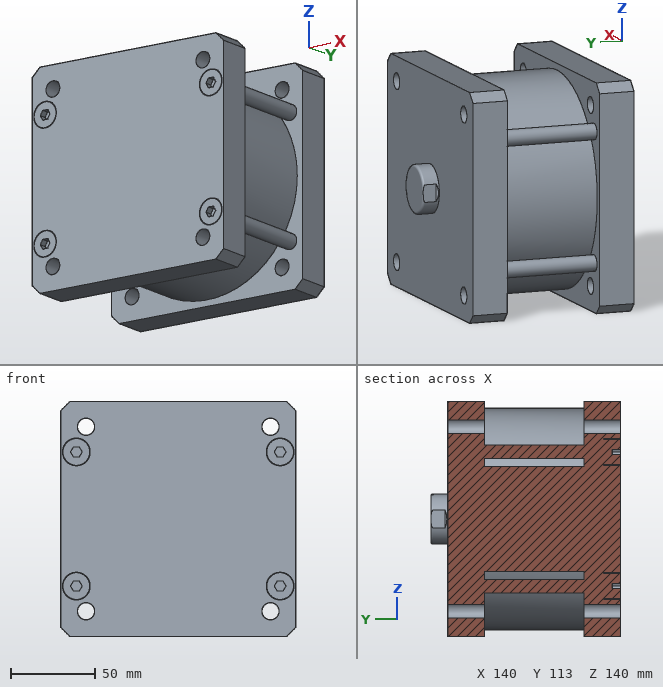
import cadquery as cq
import math

plate_side = 140.0
plate_thickness = 22.0
plate_corner_chamfer = 5.6
mounting_hole_diameter = 10.1
mounting_hole_offset = 54.9

total_length = 113.0
rod_projection = 10.1
barrel_diameter = 132.0
barrel_length = total_length - rod_projection - 2 * plate_thickness

tie_rod_diameter = 10.0
tie_rod_offset_x = 60.6
tie_rod_offset_z = 39.9
head_diameter = 16.0
counterbore_diameter = 16.5
counterbore_depth = tie_rod_diameter
socket_across_flats = 6.0
socket_depth = 4.9

rod_diameter = 30.0
rod_tip_fillet = 1.5
rod_across_flats = 28.0
flat_start = 1.7
flat_runout_length = 1.1

front_plate_back = plate_thickness
rear_plate_front = front_plate_back + barrel_length
rear_plate_back = rear_plate_front + plate_thickness

mounting_points = [
    (x * mounting_hole_offset, z * mounting_hole_offset) for x in (-1, 1) for z in (-1, 1)
]
tie_rod_points = [
    (x * tie_rod_offset_x, z * tie_rod_offset_z) for x in (-1, 1) for z in (-1, 1)
]


def section_plane(y):
    """XZ plane at the given Y; positive extrusions run towards -Y."""
    return cq.Workplane("XZ", origin=(0, y, 0))


def end_plate(front_y):
    """Chamfered square plate with four through holes near its corners."""
    plate = section_plane(front_y).rect(plate_side, plate_side).extrude(-plate_thickness)
    plate = plate.edges("|Y").chamfer(plate_corner_chamfer)
    holes = (
        section_plane(front_y)
        .pushPoints(mounting_points)
        .circle(mounting_hole_diameter / 2)
        .extrude(-plate_thickness)
    )
    return plate.cut(holes)


def barrel_and_tie_rods():
    """Barrel and the four tie rods spanning the gap between the plates."""
    barrel = section_plane(front_plate_back).circle(barrel_diameter / 2).extrude(-barrel_length)
    rods = (
        section_plane(front_plate_back)
        .pushPoints(tie_rod_points)
        .circle(tie_rod_diameter / 2)
        .extrude(-barrel_length)
    )
    return barrel.union(rods)


def head_clearances():
    """Thin ring gaps between the tie rod heads and their counterbores."""
    counterbores = (
        section_plane(0)
        .pushPoints(tie_rod_points)
        .circle(counterbore_diameter / 2)
        .extrude(-counterbore_depth)
    )
    heads = (
        section_plane(0)
        .pushPoints(tie_rod_points)
        .circle(head_diameter / 2)
        .extrude(-counterbore_depth)
    )
    return counterbores.cut(heads)


def head_sockets():
    """Hexagon sockets with corners pointing along X."""
    across_corners = socket_across_flats / math.cos(math.pi / 6)
    return (
        section_plane(0)
        .pushPoints(tie_rod_points)
        .polygon(6, across_corners)
        .extrude(-socket_depth)
    )


def piston_rod_end():
    """Rod end with a rounded tip and two flats that slope out to the full diameter."""
    radius = rod_diameter / 2
    rod_length = total_length - rear_plate_front
    rod = section_plane(rear_plate_front).circle(radius).extrude(-rod_length)
    rod = rod.faces(">Y").edges().fillet(rod_tip_fillet)
    flat_x = rod_across_flats / 2
    flat_y = rear_plate_back + flat_start
    flat_cut = (
        cq.Workplane("XY")
        .polyline([
            (flat_x, total_length),
            (flat_x, flat_y),
            (radius, flat_y - flat_runout_length),
            (radius, total_length),
        ])
        .close()
        .extrude(radius, both=True)
    )
    return rod.cut(flat_cut).cut(flat_cut.mirror("YZ"))


result = (
    end_plate(0)
    .union(barrel_and_tie_rods())
    .union(end_plate(rear_plate_front))
    .union(piston_rod_end())
    .cut(head_clearances())
    .cut(head_sockets())
)